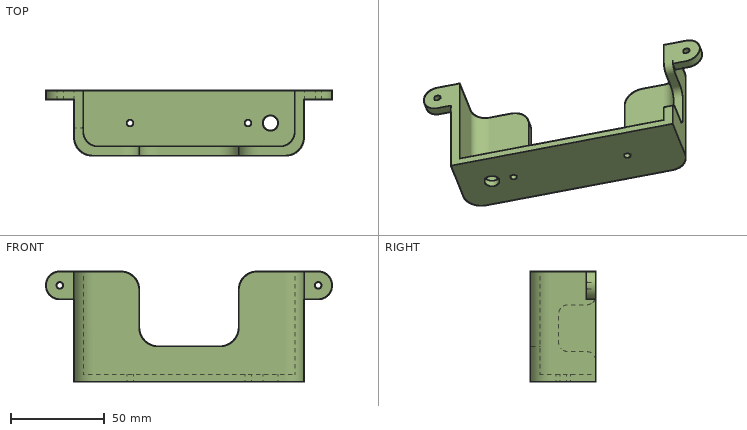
import cadquery as cq

body_width = 123.0
depth = 35.0
height = 59.0
wall = 5.0
floor_thickness = 4.0
outer_corner_radius = 10.0
inner_corner_radius = 8.0

ear_length = 15.0
ear_height = 15.0
ear_radius = ear_height / 2
screw_diameter = 3.4

cutout_width = 53.0
cutout_depth = 40.0
cutout_radius = 10.0

window_bottom = 16.25
window_height = 25.0
window_depth = 20.0
window_radius = 5.0

floor_hole_back_distance = 17.5
floor_screw_spacing = 63.0
cable_hole_diameter = 8.0
cable_hole_x = 43.5

half_width = body_width / 2


def rounded_front_block(width, back, front, radius, bottom, top):
    """Upright block whose two front vertical edges are rounded."""
    block = cq.Workplane("XY").box(width, back - front, top - bottom, centered=(True, False, False))
    return block.translate((0, front, bottom)).edges("|Z and <Y").fillet(radius)


def make_shell():
    """Tray with a floor, two side walls and a front wall, open at the top and back."""
    outer = rounded_front_block(body_width, 0, -depth, outer_corner_radius, 0, height)
    cavity = rounded_front_block(
        body_width - 2 * wall, 0, wall - depth, inner_corner_radius, floor_thickness, height
    )
    return outer.cut(cavity)


def make_ear(side):
    """Round-ended screw ear at the upper back; side is -1 or +1."""
    wall_x = side * (half_width - wall)
    hole_x = side * (half_width + ear_length - ear_radius)
    tip_x = side * (half_width + ear_length)
    hole_z = height - ear_radius
    ear = (
        cq.Workplane("XZ")
        .moveTo(wall_x, height)
        .lineTo(hole_x, height)
        .threePointArc((tip_x, hole_z), (hole_x, height - ear_height))
        .lineTo(side * half_width, height - ear_height)
        .lineTo(side * half_width, height - ear_radius)
        .lineTo(wall_x, height - ear_radius)
        .close()
        .extrude(wall)
    )
    hole = cq.Workplane("XZ").center(hole_x, hole_z).circle(screw_diameter / 2).extrude(wall)
    return ear.cut(hole)


def make_front_cutout():
    """U-shaped opening with rounded bottom corners and flared top corners."""
    half = cutout_width / 2
    r = cutout_radius
    bottom = height - cutout_depth
    return (
        cq.Workplane("XZ", origin=(0, wall - depth, 0))
        .moveTo(-half - r, height)
        .radiusArc((-half, height - r), r)
        .lineTo(-half, bottom + r)
        .radiusArc((-half + r, bottom), -r)
        .lineTo(half - r, bottom)
        .radiusArc((half, bottom + r), -r)
        .lineTo(half, height - r)
        .radiusArc((half + r, height), r)
        .close()
        .extrude(wall)
    )


def make_side_window():
    """Notch through the -X wall with rounded inner corners and lips."""
    r = window_radius
    top = window_bottom + window_height
    return (
        cq.Workplane("YZ", origin=(-half_width, 0, 0))
        .moveTo(0, window_bottom - r)
        .radiusArc((-r, window_bottom), -r)
        .lineTo(r - window_depth, window_bottom)
        .radiusArc((-window_depth, window_bottom + r), r)
        .lineTo(-window_depth, top - r)
        .radiusArc((r - window_depth, top), r)
        .lineTo(-r, top)
        .radiusArc((0, top + r), -r)
        .close()
        .extrude(wall)
    )


def make_floor_holes():
    """Two screw holes and one cable hole through the floor, in one row."""
    row = cq.Workplane("XY", origin=(0, -floor_hole_back_distance, 0))
    screws = row.rarray(floor_screw_spacing, 1, 2, 1).circle(screw_diameter / 2).extrude(floor_thickness)
    cable = row.center(cable_hole_x, 0).circle(cable_hole_diameter / 2).extrude(floor_thickness)
    return screws.union(cable)


result = (
    make_shell()
    .cut(make_front_cutout())
    .cut(make_side_window())
    .cut(make_floor_holes())
    .union(make_ear(-1))
    .union(make_ear(1))
)